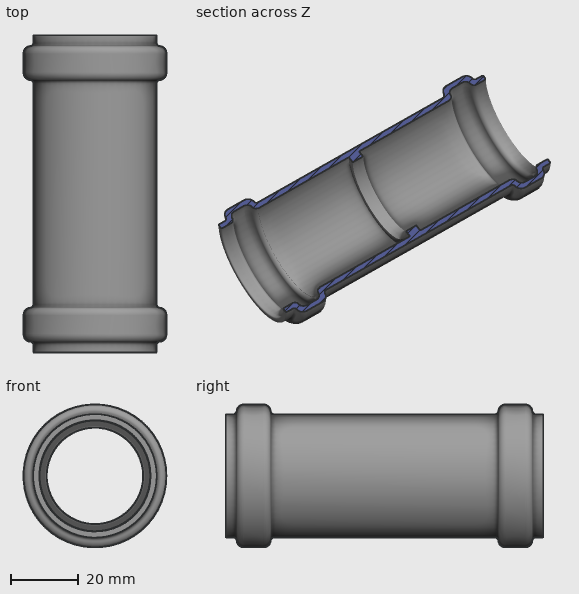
import cadquery as cq
import math

LENGTH = 94.0
PIPE_RADIUS = 36.6 / 2
STOP_RADIUS = 28.5 / 2
STOP_WIDTH = 3.8
MOUTH_RADIUS = 33.0 / 2
SEAT_RADIUS = 32.7 / 2
BEAD_RADIUS = 42.4 / 2
GROOVE_RADIUS = 38.8 / 2

BEAD_START = 2.35
CROWN_START = 5.45
CROWN_END = 11.1
BEAD_END = CROWN_END + CROWN_START - BEAD_START

GROOVE_INSET = 1.1
GROOVE_START = BEAD_START + GROOVE_INSET
GROOVE_FLOOR_START = CROWN_START + GROOVE_INSET
GROOVE_FLOOR_END = CROWN_END - GROOVE_INSET
GROOVE_END = BEAD_END - GROOVE_INSET

BEAD_CROWN_FILLET = 2.4
BEAD_FOOT_FILLET = 0.9
GROOVE_FLOOR_FILLET = 1.9
GROOVE_FOOT_FILLET = 1.4

RIM_FILLET = 0.4


def add_flank(outline, start, end, start_fillet, end_fillet):
    """Add an S-shaped flank of two tangent arcs, level with the axis at both ends.

    Only the ratio of the two fillets is free: their size follows from the end points.
    """
    length = end[1] - start[1]
    rise = end[0] - start[0]
    share = start_fillet / (start_fillet + end_fillet)
    turn = 2 * math.atan2(abs(rise), abs(length))

    half_length = math.sin(turn / 2) / math.sin(turn)
    half_rise = (1 - math.cos(turn / 2)) / (1 - math.cos(turn))

    def point_along(part_length, part_rise):
        return start[0] + rise * part_rise, start[1] + length * part_length

    joint = point_along(share, share)
    start_middle = point_along(share * half_length, share * half_rise)
    end_middle = point_along(1 - (1 - share) * half_length, 1 - (1 - share) * half_rise)
    return outline.threePointArc(start_middle, joint).threePointArc(end_middle, end)


def make_half_sleeve():
    """Revolve one end of the sleeve, from its rim at Y = -LENGTH / 2 to mid length."""
    end_y = -LENGTH / 2

    def point(radius, depth):
        return radius, end_y + depth

    rim_middle = RIM_FILLET * (1 - math.sqrt(0.5))

    outline = (
        cq.Workplane("XY")
        .moveTo(*point(PIPE_RADIUS - RIM_FILLET, 0))
        .threePointArc(point(PIPE_RADIUS - rim_middle, rim_middle), point(PIPE_RADIUS, RIM_FILLET))
        .lineTo(*point(PIPE_RADIUS, BEAD_START))
    )
    outline = add_flank(
        outline, point(PIPE_RADIUS, BEAD_START), point(BEAD_RADIUS, CROWN_START),
        BEAD_FOOT_FILLET, BEAD_CROWN_FILLET,
    )
    outline = outline.lineTo(*point(BEAD_RADIUS, CROWN_END))
    outline = add_flank(
        outline, point(BEAD_RADIUS, CROWN_END), point(PIPE_RADIUS, BEAD_END),
        BEAD_CROWN_FILLET, BEAD_FOOT_FILLET,
    )
    outline = outline.lineTo(PIPE_RADIUS, 0)

    outline = (
        outline.lineTo(STOP_RADIUS, 0)
        .lineTo(STOP_RADIUS, -STOP_WIDTH / 2)
        .lineTo(SEAT_RADIUS, -STOP_WIDTH / 2)
        .lineTo(*point(SEAT_RADIUS, GROOVE_END))
        .lineTo(*point(MOUTH_RADIUS, GROOVE_END))
    )
    outline = add_flank(
        outline, point(MOUTH_RADIUS, GROOVE_END), point(GROOVE_RADIUS, GROOVE_FLOOR_END),
        GROOVE_FOOT_FILLET, GROOVE_FLOOR_FILLET,
    )
    outline = outline.lineTo(*point(GROOVE_RADIUS, GROOVE_FLOOR_START))
    outline = add_flank(
        outline, point(GROOVE_RADIUS, GROOVE_FLOOR_START), point(MOUTH_RADIUS, GROOVE_START),
        GROOVE_FLOOR_FILLET, GROOVE_FOOT_FILLET,
    )
    outline = (
        outline.lineTo(*point(MOUTH_RADIUS, RIM_FILLET))
        .threePointArc(point(MOUTH_RADIUS + rim_middle, rim_middle), point(MOUTH_RADIUS + RIM_FILLET, 0))
        .close()
    )
    return outline.revolve(360, (0, 0, 0), (0, 1, 0))


half_sleeve = make_half_sleeve()
result = half_sleeve.union(half_sleeve.mirror("XZ")).clean()